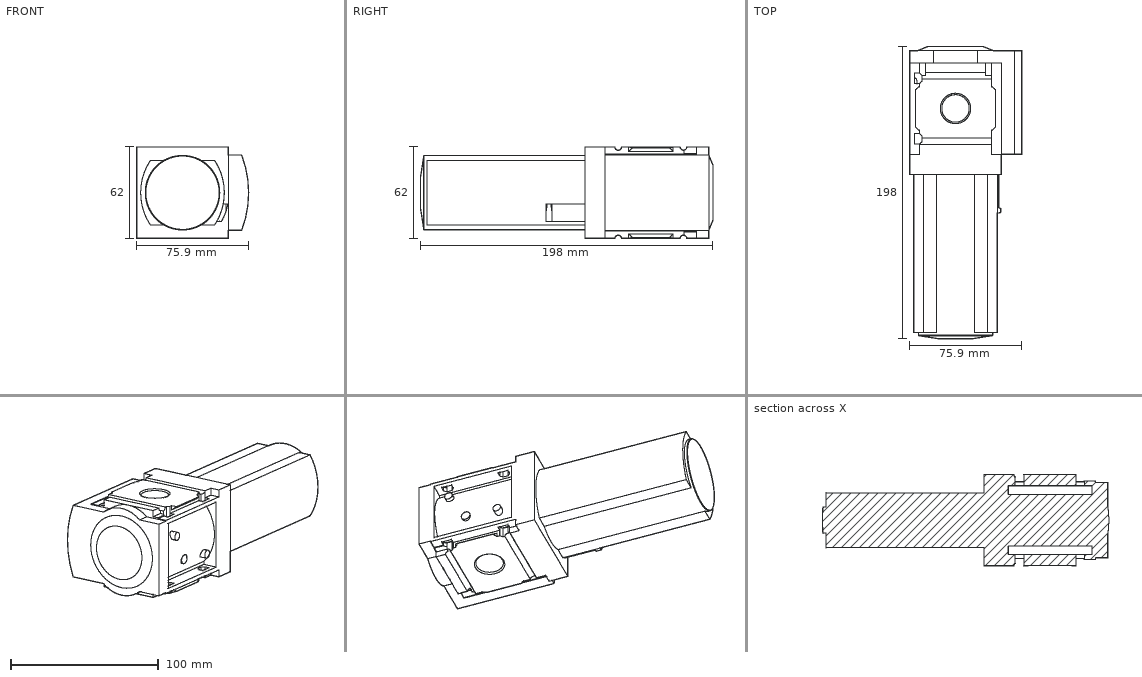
import cadquery as cq
import math


housing_size = 62.0
half = housing_size / 2
housing_length = 84.0
core_width = 49.0
back_thickness = 8.3
back_height = 51.0
frame_length = 70.3
frame_height = 52.0

crown_width = 29.9

cover_reach = 13.9
cover_straight = 9.1

window_back = 10.9
window_front = 67.3
window_height = 46.3
drum_radius = 29.5
drum_height = 42.0
pin_diameter = 5.5
pin_places = [(-21.4, 11.0), (-56.6, -11.0)]
post_embed = 6.0
pad_diameter = 6.3
pad_y = -33.0
pad_z = -8.7
pad_x = -28.7

groove_radius = 2.2
groove_places = [-17.2, -61.4]
corner_cut_width = 4.2
corner_cut_front = 17.0
corner_cut_depth = 4.4
port_y = -39.2
port_diameter = 18.6
port_depth = 19.8
port_chamfer = 1.0

clip_places = [-18.8, -59.8]
clip_outer_x = -27.7
clip_inner_x = -22.5
clip_half_length = 3.5
clip_bevel = 1.8

lip_length = 30.0
lip_reach = 2.5
lip_drop = 0.8
lip_thickness = 3.0
lip_bevel = 2.4

bowl_diameter = 50.5
bowl_end = 193.0
rim_chamfer = 0.4
nose_diameter = 21.8
nose_end = 195.2
sleeve_end = 190.9
sleeve_height = 43.5
sleeve_width = 56.6
sleeve_flat_width = 43.5

latch_top = -7.5
latch_bottom = -19.5
arm_offset = 1.8
arm_end = 106.3
knob_offset = 3.2
knob_end = 110.0
knob_bevel = 1.0
knob_tip = 2.0

dome_base_diameter = 51.0
dome_top_diameter = 37.6
dome_height = 2.8


def box(x0, x1, y0, y1, z0, z1):
    return cq.Workplane("XY").box(x1 - x0, y1 - y0, z1 - z0, centered=False).translate((x0, y0, z0))


def both_z(shape):
    """The shape together with its mirror image below the bowl axis."""
    return shape.union(shape.mirror("XY"))


def along_y(y_start):
    """XZ sketch plane at y_start whose extrusions run towards -Y."""
    return cq.Workplane("XZ", origin=(0, y_start, 0))


def housing():
    front_block = box(-half, half, -housing_length, -frame_length, -half, half)
    core = box(-core_width / 2, core_width / 2, -frame_length, -back_thickness, -half, half)
    frame = box(-half, half, -frame_length, -back_thickness, -frame_height / 2, frame_height / 2)
    back = box(-half, half, -back_thickness, 0, -back_height / 2, back_height / 2)
    return front_block.union(core).union(frame).union(back)


def crown():
    outline = (
        along_y(0)
        .moveTo(-crown_width / 2, back_height / 2)
        .threePointArc((0, half), (crown_width / 2, back_height / 2))
        .lineTo(crown_width / 2, 0)
        .lineTo(-crown_width / 2, 0)
        .close()
    )
    return both_z(outline.extrude(back_thickness))


def cover():
    shoulder = half + cover_straight
    return (
        along_y(0)
        .moveTo(half, -back_height / 2)
        .lineTo(shoulder, -back_height / 2)
        .threePointArc((half + cover_reach, 0), (shoulder, back_height / 2))
        .lineTo(half, back_height / 2)
        .close()
        .extrude(frame_length)
    )


def dome():
    profile = [(0, 0), (dome_base_diameter / 2, 0), (dome_top_diameter / 2, dome_height), (0, dome_height)]
    return cq.Workplane("XY").polyline(profile).close().revolve(360, (0, 0, 0), (0, 1, 0))


def window():
    """Pocket in the -X side that leaves a cylindrical drum standing inside it."""
    drum_edge_x = -math.sqrt(drum_radius**2 - (drum_height / 2) ** 2)
    pocket = box(-half, drum_edge_x, -window_front, -window_back, -window_height / 2, window_height / 2)
    drum = along_y(-window_back).circle(drum_radius).extrude(window_front - window_back)
    return pocket.cut(drum)


def post(y, z, diameter, outer_x):
    """Round post from inside the drum out to outer_x."""
    root_x = -drum_radius + post_embed
    return cq.Workplane("YZ", origin=(root_x, y, z)).circle(diameter / 2).extrude(outer_x - root_x)


def pad_clearance():
    """Space in front of the pad's flat face."""
    return cq.Workplane("YZ", origin=(pad_x, pad_y, pad_z)).circle(pad_diameter / 2).extrude(-half - pad_x)


def grooves():
    cutter = cq.Workplane("YZ", origin=(-core_width / 2, 0, 0))
    cutter = cutter.pushPoints([(y, half) for y in groove_places]).circle(groove_radius).extrude(core_width)
    return both_z(cutter)


def corner_cuts():
    edge = core_width / 2
    floor_z = half - corner_cut_depth
    cut = box(edge - corner_cut_width, edge, -corner_cut_front, -back_thickness, floor_z, half)
    return both_z(cut.union(cut.mirror("YZ")))


def ports():
    radius = port_diameter / 2
    profile = [
        (0, half),
        (radius + port_chamfer, half),
        (radius, half - port_chamfer),
        (radius, half - port_depth),
        (0, half - port_depth),
    ]
    port = cq.Workplane("XZ").polyline(profile).close().revolve(360, (0, 0, 0), (0, 1, 0))
    return both_z(port.translate((0, port_y, 0)))


def clip_holes():
    long_side_x = clip_inner_x - clip_bevel
    short_half = clip_half_length - clip_bevel
    outline = [
        (clip_outer_x, -clip_half_length),
        (long_side_x, -clip_half_length),
        (clip_inner_x, -short_half),
        (clip_inner_x, short_half),
        (long_side_x, clip_half_length),
        (clip_outer_x, clip_half_length),
    ]
    hole = cq.Workplane("XY", origin=(0, 0, drum_height / 2)).polyline(outline).close().extrude(half)
    holes = cq.Workplane("XY")
    for y in clip_places:
        holes = holes.add(hole.translate((0, y, 0)))
    return both_z(holes.combine())


def lips():
    edge = core_width / 2
    section = [(edge, half), (edge + lip_reach, half - lip_drop), (edge, half - lip_thickness)]
    bar = along_y(port_y + lip_length / 2).polyline(section).close().extrude(lip_length)
    footprint = [
        (edge, port_y - lip_length / 2),
        (edge, port_y + lip_length / 2),
        (edge + lip_reach, port_y + lip_length / 2 - lip_bevel),
        (edge + lip_reach, port_y - lip_length / 2 + lip_bevel),
    ]
    lip = bar.intersect(cq.Workplane("XY").polyline(footprint).close().extrude(half))
    return both_z(lip.union(lip.mirror("YZ")))


def bowl():
    radius = bowl_diameter / 2
    profile = [
        (0, -housing_length),
        (radius, -housing_length),
        (radius, -bowl_end + rim_chamfer),
        (radius - rim_chamfer, -bowl_end),
        (nose_diameter / 2, -nose_end),
        (0, -nose_end),
    ]
    return cq.Workplane("XY").polyline(profile).close().revolve(360, (0, 0, 0), (0, 1, 0))


def barrel(length):
    """Guard section: flat top and bottom, bowed left and right sides."""
    flat_x = sleeve_flat_width / 2
    flat_z = sleeve_height / 2
    return (
        along_y(-housing_length)
        .moveTo(-flat_x, flat_z)
        .lineTo(flat_x, flat_z)
        .threePointArc((sleeve_width / 2, 0), (flat_x, -flat_z))
        .lineTo(-flat_x, -flat_z)
        .threePointArc((-sleeve_width / 2, 0), (-flat_x, flat_z))
        .close()
        .extrude(length)
    )


def latch():
    """Arm and knob that follow the bowed side of the sleeve."""
    side_band = box(0, half, -knob_end, -housing_length, latch_bottom, latch_top)
    arm = barrel(arm_end - housing_length).translate((arm_offset, 0, 0)).intersect(side_band)
    tip_x = sleeve_width / 2 + knob_offset
    knob_outline = [
        (0, -arm_end),
        (tip_x - knob_tip, -arm_end),
        (tip_x, -arm_end - knob_bevel),
        (tip_x, -knob_end + knob_bevel),
        (tip_x - knob_tip, -knob_end),
        (0, -knob_end),
    ]
    knob_space = cq.Workplane("XY", origin=(0, 0, latch_bottom)).polyline(knob_outline).close()
    knob_space = knob_space.extrude(latch_top - latch_bottom)
    knob = barrel(knob_end - housing_length).translate((knob_offset, 0, 0)).intersect(knob_space)
    return arm.union(knob)


result = housing().union(crown()).union(cover()).union(dome()).union(lips())
for feature in (window(), grooves(), corner_cuts(), ports(), clip_holes()):
    result = result.cut(feature)
for place_y, place_z in pin_places:
    result = result.union(post(place_y, place_z, pin_diameter, -half))
result = result.union(post(pad_y, pad_z, pad_diameter, pad_x)).cut(pad_clearance())
result = result.union(bowl()).union(barrel(sleeve_end - housing_length)).union(latch())